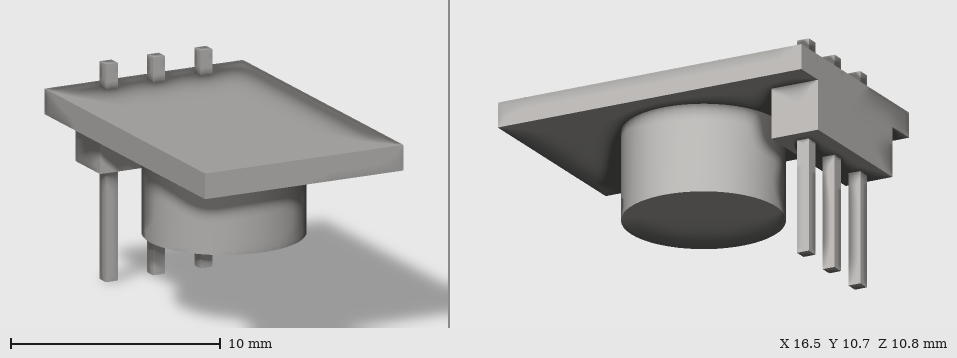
import cadquery as cq

board_length = 16.51
board_width = 10.67
board_thickness = 1.27

pin_count = 3
pin_pitch = 2.55
pin_side = 0.65
pin_rise = 1.27
pin_drop = 5.71
header_depth = pin_pitch
header_height = pin_pitch
header_width = 7.35
header_x = (header_depth - board_length) / 2

can_diameter = 7.88
can_height = 4.45


def make_board():
    return cq.Workplane("XY").rect(board_length, board_width).extrude(board_thickness)


def make_header_block():
    return (
        cq.Workplane("XY")
        .center(header_x, 0)
        .rect(header_depth, header_width)
        .extrude(-header_height)
    )


def make_pins():
    """Square pins passing through both the header block and the board."""
    pin_bottom = -header_height - pin_drop
    pin_top = board_thickness + pin_rise
    return (
        cq.Workplane("XY", origin=(header_x, 0, pin_bottom))
        .rarray(pin_pitch, pin_pitch, 1, pin_count)
        .rect(pin_side, pin_side)
        .extrude(pin_top - pin_bottom)
    )


def make_can():
    return cq.Workplane("XY").circle(can_diameter / 2).extrude(-can_height)


result = make_board().union(make_header_block()).union(make_can()).union(make_pins())